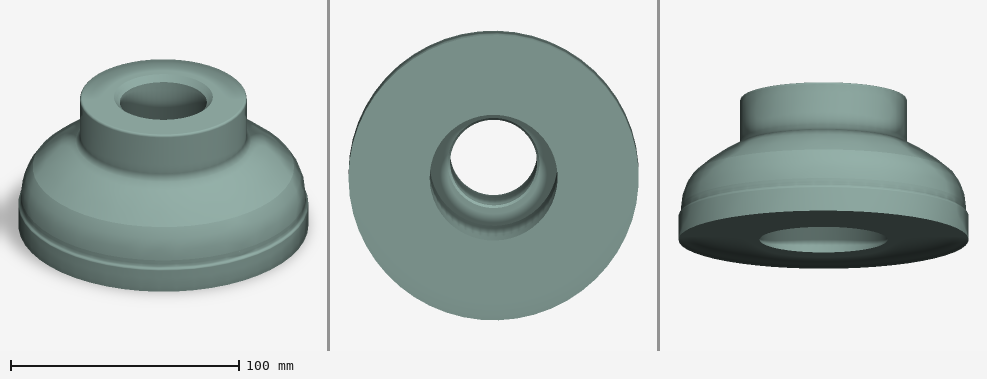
import cadquery as cq
import math

total_height = 63.02
seal_diameter = 127.01

seal_height = 14.0
neck_height = 12.2
lip_height = 10.4

hub_diameter = 73.0
hub_edge_fillet = 1.0
hub_base_height = 44.0
dome_top_diameter = 77.0
dome_top_height = 41.3
dome_bottom_diameter = 114.4
dome_bottom_height = 28.6
dome_bulge = 0.8
rim_diameter = 124.59
rim_height = 0.8

bore_diameter = 38.11
bore_top_chamfer = 2.6
bore_bottom_chamfer = 1.0
bore_bottom_height = 36.0
cavity_diameter = 56.0

seal_radius = seal_diameter / 2
hub_radius = hub_diameter / 2
dome_top_radius = dome_top_diameter / 2
dome_bottom_radius = dome_bottom_diameter / 2
rim_radius = rim_diameter / 2
bore_radius = bore_diameter / 2
cavity_radius = cavity_diameter / 2
rim_top_height = seal_height + rim_height
cavity_top_height = bore_bottom_height - bore_bottom_chamfer


def shoulder_middle():
    """Middle point of the shoulder arc, which leaves the rim vertically."""
    rise = dome_bottom_height - rim_top_height
    inset = rim_radius - dome_bottom_radius
    arc_radius = (rise**2 + inset**2) / (2 * inset)
    half_angle = math.asin(rise / arc_radius) / 2
    radius = rim_radius - arc_radius * (1 - math.cos(half_angle))
    return (radius, rim_top_height + arc_radius * math.sin(half_angle))


def dome_middle():
    """Middle point of the dome arc, bulging out from the straight line between its ends."""
    run = dome_bottom_radius - dome_top_radius
    drop = dome_top_height - dome_bottom_height
    length = math.hypot(run, drop)
    radius = (dome_top_radius + dome_bottom_radius) / 2 + dome_bulge * drop / length
    height = (dome_top_height + dome_bottom_height) / 2 + dome_bulge * run / length
    return (radius, height)


def foot_middle():
    """Middle point of the concave foot arc, which runs vertically into the hub."""
    rise = hub_base_height - dome_top_height
    flare = dome_top_radius - hub_radius
    arc_radius = (rise**2 + flare**2) / (2 * flare)
    half_angle = math.asin(rise / arc_radius) / 2
    radius = hub_radius + arc_radius * (1 - math.cos(half_angle))
    return (radius, hub_base_height - arc_radius * math.sin(half_angle))


def revolve_about_z(profile):
    return profile.revolve(360, (0, 0, 0), (0, 1, 0))


def build_housing():
    profile = (
        cq.Workplane("XZ")
        .moveTo(cavity_radius, seal_height)
        .lineTo(rim_radius, seal_height)
        .lineTo(rim_radius, rim_top_height)
        .threePointArc(shoulder_middle(), (dome_bottom_radius, dome_bottom_height))
        .threePointArc(dome_middle(), (dome_top_radius, dome_top_height))
        .threePointArc(foot_middle(), (hub_radius, hub_base_height))
        .lineTo(hub_radius, total_height)
        .lineTo(bore_radius + bore_top_chamfer, total_height)
        .lineTo(bore_radius, total_height - bore_top_chamfer)
        .lineTo(bore_radius, bore_bottom_height)
        .lineTo(bore_radius + bore_bottom_chamfer, cavity_top_height)
        .lineTo(cavity_radius, cavity_top_height)
        .close()
    )
    hub_rim = cq.selectors.RadiusNthSelector(-1)
    return revolve_about_z(profile).faces(">Z").edges(hub_rim).fillet(hub_edge_fillet)


def build_seal():
    vertical = (0, 1)
    profile = (
        cq.Workplane("XZ")
        .moveTo(cavity_radius, 0)
        .lineTo(seal_radius, 0)
        .spline(
            [
                (seal_radius, lip_height),
                (rim_radius, neck_height),
                (rim_radius, seal_height),
            ],
            tangents=[vertical] * 4,
            includeCurrent=True,
        )
        .lineTo(cavity_radius, seal_height)
        .close()
    )
    return revolve_about_z(profile)


housing = build_housing()
seal = build_seal()
result = cq.Compound.makeCompound([housing.val(), seal.val()])